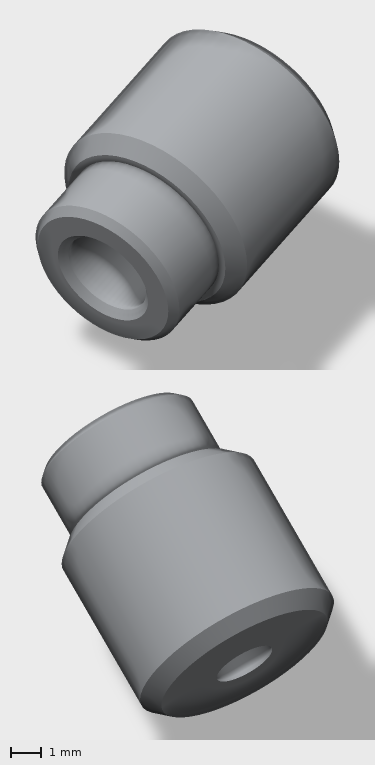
import cadquery as cq

total_length = 8.89
body_diameter = 7.11
body_chamfer = 0.51
nose_diameter = 5.59
nose_length = 2.54
nose_chamfer = 0.26

bore_diameter = 3.01
bore_depth = 4.445
bore_chamfer = 0.25
through_diameter = 2.04


def cylinder_along_y(diameter, start, length):
    """Solid cylinder on the Y axis, running from start toward +Y."""
    plane = cq.Plane(origin=(0, start, 0), xDir=(1, 0, 0), normal=(0, 1, 0))
    return cq.Workplane(plane).circle(diameter / 2).extrude(length)


body = cylinder_along_y(body_diameter, nose_length, total_length - nose_length)
body = body.faces("<Y or >Y").edges().chamfer(body_chamfer)

nose = cylinder_along_y(nose_diameter, 0, nose_length)
nose = nose.faces("<Y").edges().chamfer(nose_chamfer)

bore = cylinder_along_y(bore_diameter, 0, bore_depth)
through_hole = cylinder_along_y(through_diameter, 0, total_length)

result = body.union(nose).cut(bore).cut(through_hole)

bore_rim = cq.selectors.RadiusNthSelector(0)
result = result.faces("<Y").edges(bore_rim).chamfer(bore_chamfer)